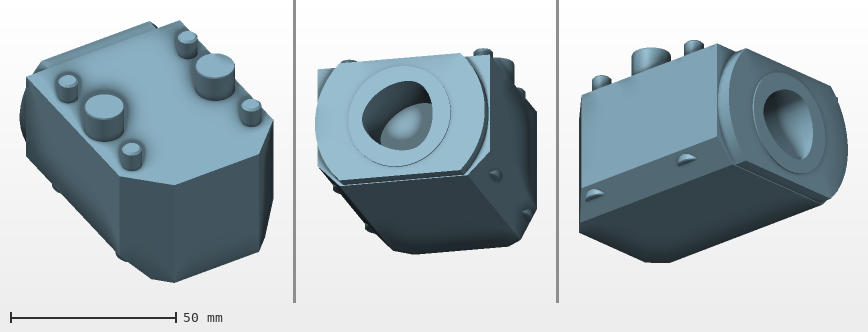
import cadquery as cq
import math


block_length = 68.0
block_width = 54.0
block_height = 38.0
rear_corner_chamfer = 12.15
bottom_edge_chamfer = 7.0
top_z = block_height / 2
bottom_z = -block_height / 2

flange_diameter = 53.3
flange_thickness = 4.5
flange_height = 37.5
ring_diameter = 32.0
ring_thickness = 0.5
mouth_x = -flange_thickness - ring_thickness

mouth_diameter = 22.15
bore_depth = 20.0
bore_taper = 1 / 20
bore_eccentricity = 0.63
floor_diameter = mouth_diameter - bore_taper * bore_depth

pin_diameter = 12.01
pin_height = 9.0
pin_chamfer_radial = 0.2
pin_chamfer_axial = 0.5
pin_x = block_length / 2
pin_y = 19.5

screw_diameter = 6.0
screw_tip_height = 6.7
screw_chamfer = 0.65
screw_head_diameter = 10.0
screw_head_height = 6.0
screw_head_inset = 3.8
screw_head_chamfer = 0.3
screw_front_x = 15.0
screw_spacing_x = 38.0
screw_y = 21.0


def make_block():
    """Block with chamfered rear corners and chamfered lower long edges."""
    block = cq.Workplane("XY").box(
        block_length, block_width, block_height, centered=(False, True, True)
    )
    block = block.edges("|Z and >X").chamfer(rear_corner_chamfer)
    half_width = block_width / 2
    for side in (-1, 1):
        wedge = (
            cq.Workplane("YZ")
            .moveTo(side * half_width, bottom_z)
            .lineTo(side * (half_width - bottom_edge_chamfer), bottom_z)
            .lineTo(side * half_width, bottom_z + bottom_edge_chamfer)
            .close()
            .extrude(block_length)
        )
        block = block.cut(wedge)
    return block


def make_flange():
    """Round flange with flats at top and bottom, plus the contact ring."""
    flange = cq.Workplane("YZ").circle(flange_diameter / 2).extrude(-flange_thickness)
    flats = cq.Workplane("YZ").rect(block_width, flange_height).extrude(-flange_thickness)
    ring = cq.Workplane("YZ").circle(ring_diameter / 2).extrude(mouth_x)
    return flange.intersect(flats).union(ring)


def polygon_curve(diameter):
    """Return the three-lobed polygon curve with one lobe pointing to +Y."""

    def point(t):
        angle = 2 * math.pi * t
        radius = diameter / 2
        e = bore_eccentricity
        across = radius * math.cos(angle) - 2 * e * math.cos(2 * angle) + e * math.cos(4 * angle)
        up = radius * math.sin(angle) + 2 * e * math.sin(2 * angle) + e * math.sin(4 * angle)
        return (-across, up)

    return point


def make_bore():
    """Blind polygon bore that narrows from its mouth to its floor."""
    return (
        cq.Workplane("YZ", origin=(mouth_x, 0, 0))
        .parametricCurve(polygon_curve(mouth_diameter))
        .workplane(offset=bore_depth)
        .parametricCurve(polygon_curve(floor_diameter))
        .loft(combine=True)
    )


def make_pin(x, y):
    """Locating pin standing on the top face."""
    return (
        cq.Workplane("XY", origin=(x, y, top_z))
        .circle(pin_diameter / 2)
        .extrude(pin_height)
        .faces(">Z")
        .edges()
        .chamfer(pin_chamfer_axial, pin_chamfer_radial)
    )


def make_screw(x, y):
    """Cap screw: threaded tip above the block and a head at the bottom."""
    tip = (
        cq.Workplane("XY", origin=(x, y, top_z))
        .circle(screw_diameter / 2)
        .extrude(screw_tip_height)
        .faces(">Z")
        .chamfer(screw_chamfer)
    )
    head = (
        cq.Workplane("XY", origin=(x, y, bottom_z + screw_head_inset))
        .circle(screw_head_diameter / 2)
        .extrude(screw_head_height)
        .faces("<Z")
        .chamfer(screw_head_chamfer)
    )
    return tip, head


result = make_block().union(make_flange()).cut(make_bore())

for side in (-1, 1):
    result = result.union(make_pin(pin_x, side * pin_y))
    for screw_x in (screw_front_x, screw_front_x + screw_spacing_x):
        for screw_part in make_screw(screw_x, side * screw_y):
            result = result.union(screw_part)